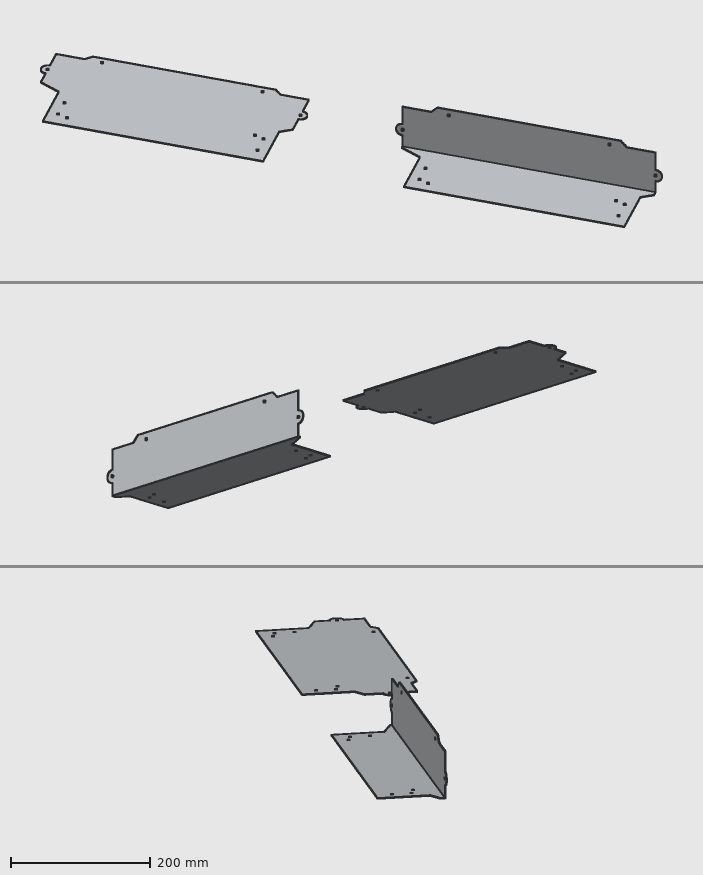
import cadquery as cq

thickness = 1.5
hole_diameter = 3.6

base_depth = 96.16
wall_height = 80.16
blank_depth = 175.01
wall_width = 380.0
ear_radius = 10.0
outer_length = 942.82

overall_width = wall_width + 2 * ear_radius
part_spacing = outer_length - overall_width
folded_depth = base_depth + wall_height

left_inset = 31.75
right_inset = 17.0
wall_left = -wall_width / 2
wall_right = wall_width / 2
base_left = wall_left + left_inset
base_right = wall_right - right_inset

taper_front = 77.0
taper_back_left = 92.0
taper_back_right = 88.0

crest_height = 9.6
crest_half_width = 137.5

ear_drop = 50.0
crest_hole_drop = 10.25
crest_hole_x = 120.75

pattern_x = (base_left + base_right) / 2
pattern_y = 38.5
corner_hole_dx = 149.75
corner_hole_dy = 14.5
offset_hole_dx = 135.0
offset_hole_dy = 19.75

SIDES = (-1, 1)


def sheet_outline(top):
    """Closed outline of the sheet, from the front edge at Y = 0 to the crest at Y = top."""
    shoulder = top - crest_height
    crest_foot = crest_half_width + crest_height
    ear = top - ear_drop
    return (
        cq.Workplane("XY")
        .moveTo(base_left, 0)
        .lineTo(base_right, 0)
        .lineTo(base_right, taper_front)
        .lineTo(wall_right, taper_back_right)
        .lineTo(wall_right, ear - ear_radius)
        .threePointArc((wall_right + ear_radius, ear), (wall_right, ear + ear_radius))
        .lineTo(wall_right, shoulder)
        .lineTo(crest_foot, shoulder)
        .lineTo(crest_half_width, top)
        .lineTo(-crest_half_width, top)
        .lineTo(-crest_foot, shoulder)
        .lineTo(wall_left, shoulder)
        .lineTo(wall_left, ear + ear_radius)
        .threePointArc((wall_left - ear_radius, ear), (wall_left, ear - ear_radius))
        .lineTo(wall_left, taper_back_left)
        .lineTo(base_left, taper_front)
        .close()
    )


def base_hole_points():
    """Corner holes of the base, plus one offset hole at the front left and one at the back right."""
    corners = [
        (pattern_x + x_side * corner_hole_dx, pattern_y + y_side * corner_hole_dy)
        for x_side in SIDES
        for y_side in SIDES
    ]
    offsets = [
        (pattern_x + side * offset_hole_dx, pattern_y + side * offset_hole_dy)
        for side in SIDES
    ]
    return corners + offsets


def wall_hole_points(top):
    """Two holes below the crest and one at the centre of each ear."""
    crest = [(side * crest_hole_x, top - crest_hole_drop) for side in SIDES]
    ears = [(side * wall_right, top - ear_drop) for side in SIDES]
    return crest + ears


def flat_sheet(top):
    """Drilled flat sheet, front edge at Y = 0 and underside at Z = 0."""
    holes = (
        cq.Workplane("XY")
        .pushPoints(base_hole_points() + wall_hole_points(top))
        .circle(hole_diameter / 2)
        .extrude(thickness)
    )
    return sheet_outline(top).extrude(thickness).cut(holes)


def sheet_between(sheet, y_from, y_to):
    """The part of a flat sheet that lies between two depths."""
    keep = cq.Workplane("XY").box(
        overall_width, y_to - y_from, thickness, centered=(True, False, False)
    )
    return sheet.intersect(keep.translate((0, y_from, 0)))


def folded_sheet():
    """The same sheet folded up to a right angle, with a sharp bend."""
    sheet = flat_sheet(folded_depth)
    base = sheet_between(sheet, 0, base_depth)
    fold_start = (0, base_depth, 0)
    fold_end = (1, base_depth, 0)
    wall = sheet_between(sheet, base_depth, folded_depth).rotate(fold_start, fold_end, 90)
    return base.union(wall)


blank = flat_sheet(blank_depth).translate((-part_spacing / 2, 0, 0))
bracket = folded_sheet().translate((part_spacing / 2, 0, 0))

result = cq.Compound.makeCompound([blank.solids().val(), bracket.solids().val()])